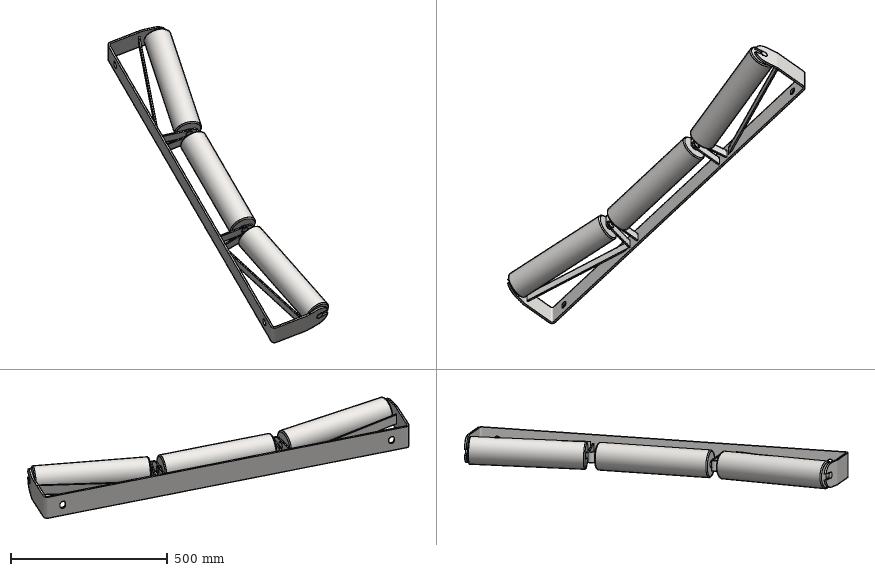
import cadquery as cq
import math

SIDES = (-1, 1)

sheet = 6.0
width = 80.0
trough_angle = 10.0
sin_trough = math.sin(math.radians(trough_angle))
cos_trough = math.cos(math.radians(trough_angle))
tan_trough = math.tan(math.radians(trough_angle))

frame_length = 1240.0
half_length = frame_length / 2
corner_radius = 12.0
bend_height = 123.0
bend_radius = 25.0
tip_height = 203.0
mount_spacing = 1116.0
mount_width = 19.0
mount_height = 26.0

roller_diameter = 89.0
roller_length = 378.0
roller_edge = 4.0
shaft_diameter = 22.0
shaft_flats = 20.0
shaft_reach = 11.0
middle_roller_y = 100.0
side_roller_x = 414.0
side_roller_y = 136.0
cutter_reach = roller_length / 2 + 2 * shaft_reach
inner_drop = 6.0
roller_skew = math.asin(inner_drop / roller_length)

strip_width = 35.0
bracket_sheet = 5.0
bracket_leg_x = 199.0
bracket_bend = 9.0
bracket_bend_y = 117.0

brace_sheet = 5.0
brace_top_y = 112.0
brace_foot_x = 254.0


def middle_roller_plane():
    """Frame of the middle roller: X along its axis, Y towards the slot mouths."""
    return cq.Plane(origin=(0, middle_roller_y, -inner_drop))


def side_roller_plane(side):
    """Frame of a side roller: X along its axis to the middle, Y towards the slot mouths."""
    axis = cq.Vector(
        -side * cos_trough * math.cos(roller_skew),
        -sin_trough * math.cos(roller_skew),
        -math.sin(roller_skew),
    )
    slot_direction = cq.Vector(-side * sin_trough, cos_trough, 0)
    return cq.Plane(
        origin=(side * side_roller_x, side_roller_y, -inner_drop / 2),
        xDir=axis,
        normal=axis.cross(slot_direction),
    )


def place(body, plane):
    return body.val().moved(cq.Location(plane))


def shaft_bar(reach):
    """Round bar along X with two flats facing along Z, reaching equally far both ways."""
    bar = cq.Workplane("YZ", origin=(-reach, 0, 0)).circle(shaft_diameter / 2).extrude(2 * reach)
    return bar.intersect(cq.Workplane("XY").box(2 * reach, shaft_diameter, shaft_flats))


def make_roller(plane):
    shell = (
        cq.Workplane("YZ", origin=(-roller_length / 2, 0, 0))
        .circle(roller_diameter / 2)
        .extrude(roller_length)
        .edges()
        .chamfer(roller_edge)
    )
    shaft = shaft_bar(roller_length / 2 + shaft_reach)
    return place(shell.union(shaft), plane)


def shaft_hole_cutter(plane):
    """Cutter for holes that fit both shaft ends of one roller."""
    return cq.Workplane(place(shaft_bar(cutter_reach), plane))


def shaft_slot_cutter(plane):
    """Cutter for slots that fit both shaft ends of one roller and open at the sheet's tip."""
    mouth = cq.Workplane("XY").box(
        2 * cutter_reach, roller_diameter, shaft_flats, centered=(True, False, True)
    )
    return cq.Workplane(place(shaft_bar(cutter_reach).union(mouth), plane))


def frame_half_profile(inset):
    """Beam corner, bend and tip of the right upright at one face of the sheet."""
    face_x = half_length - inset
    bend_y = bend_height - inset * math.tan(math.radians(trough_angle / 2))
    tip_x = face_x - (tip_height - bend_y) * tan_trough
    return [(face_x, inset), (face_x, bend_y), (tip_x, tip_height)]


def make_frame():
    outer = frame_half_profile(0)
    inner = frame_half_profile(sheet)
    right_half = outer + inner[::-1]
    left_half = [(-x, y) for x, y in right_half[::-1]]
    frame = cq.Workplane("XY").polyline(right_half + left_half).close().extrude(width / 2, both=True)

    for profile, inset in ((outer, 0), (inner, sheet)):
        for (x, y), radius in zip(profile, (corner_radius - inset, bend_radius - inset)):
            for side in SIDES:
                frame = frame.edges(cq.NearestToPointSelector((side * x, y, 0))).fillet(radius)

    tip_centre_y = tip_height - width / 2
    end_outline = (
        cq.Workplane("YZ", origin=(-half_length, 0, 0))
        .moveTo(0, -width / 2)
        .lineTo(tip_centre_y, -width / 2)
        .threePointArc((tip_height, 0), (tip_centre_y, width / 2))
        .lineTo(0, width / 2)
        .close()
        .extrude(frame_length)
    )
    frame = frame.intersect(end_outline)

    for side in SIDES:
        frame = frame.cut(shaft_slot_cutter(side_roller_plane(side)))

    mounts = (
        cq.Workplane("XZ")
        .pushPoints([(side * mount_spacing / 2, 0) for side in SIDES])
        .slot2D(mount_height, mount_width, 90)
        .extrude(-sheet)
    )
    return frame.cut(mounts).val()


def make_bracket(side):
    centre_x = bracket_leg_x + bracket_bend

    def fold(radius):
        """Solid bounded by the two legs and the bend at one face of the sheet."""
        tangent_x = centre_x + radius * cos_trough
        tangent_y = bracket_bend_y + radius * sin_trough
        foot_x = tangent_x + (tangent_y - sheet) * tan_trough
        return (
            cq.Workplane("XY", origin=(0, 0, -inner_drop))
            .moveTo(side * (centre_x - radius), sheet)
            .lineTo(side * (centre_x - radius), bracket_bend_y)
            .threePointArc((side * centre_x, bracket_bend_y + radius), (side * tangent_x, tangent_y))
            .lineTo(side * foot_x, sheet)
            .close()
            .extrude(strip_width / 2, both=True)
        )

    bracket = fold(bracket_bend + bracket_sheet / 2).cut(fold(bracket_bend - bracket_sheet / 2))
    for plane in (middle_roller_plane(), side_roller_plane(side)):
        bracket = bracket.cut(shaft_hole_cutter(plane))
    return bracket.val()


def make_brace(side):
    upright_x = half_length - sheet
    slope = math.atan2(brace_top_y - sheet, upright_x - brace_foot_x)
    top_half = brace_sheet / 2 / math.cos(slope)
    foot_half = brace_sheet / 2 / math.sin(slope)
    outline = [
        (side * upright_x, brace_top_y + top_half),
        (side * upright_x, brace_top_y - top_half),
        (side * (brace_foot_x + foot_half), sheet),
        (side * (brace_foot_x - foot_half), sheet),
    ]
    return cq.Workplane("XY").polyline(outline).close().extrude(strip_width / 2, both=True).val()


frame = make_frame()
middle_roller = make_roller(middle_roller_plane())
side_rollers = [make_roller(side_roller_plane(side)) for side in SIDES]
brackets = [make_bracket(side) for side in SIDES]
braces = [make_brace(side) for side in SIDES]

result = cq.Compound.makeCompound([frame, middle_roller, *side_rollers, *brackets, *braces])